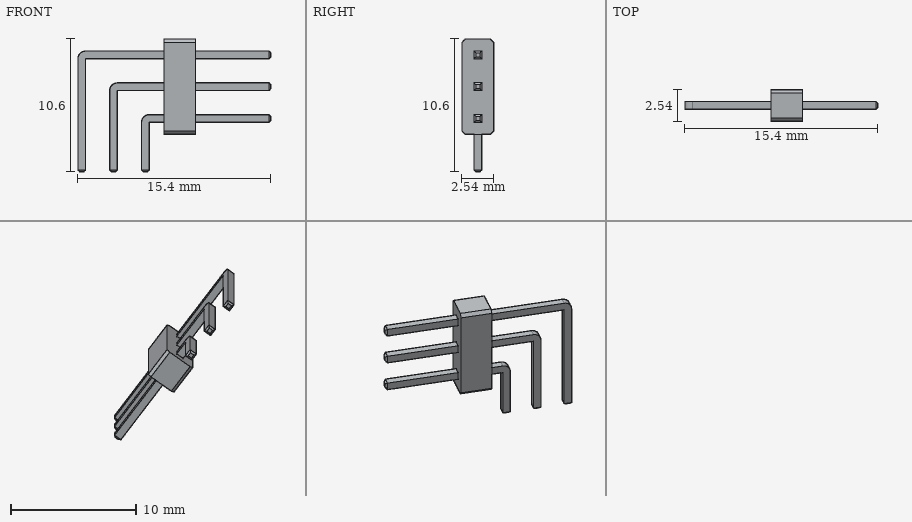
import cadquery as cq

pin_count = 3
overall_length = 15.44
overall_height = 10.62
housing_height = 7.63
housing_chamfer = 0.26
rear_reach = 6.89
pin_width = 0.63
tip_chamfer = 0.15

pitch = housing_height / pin_count
housing_width = pitch

outer_leg_x = -housing_width / 2 - rear_reach
mating_tip_x = outer_leg_x + overall_length
leg_tip_z = housing_height / 2 - overall_height
top_pin_z = (pin_count - 1) * pitch / 2


def make_pin(index):
    """Right-angle pin; index 0 is the top pin, which has the longest leg."""
    leg_x = outer_leg_x + index * pitch
    leg_inner_x = leg_x + pin_width
    bar_top = top_pin_z - index * pitch + pin_width / 2
    bar_bottom = bar_top - pin_width
    return (
        cq.Workplane("XZ")
        .moveTo(leg_x, leg_tip_z)
        .lineTo(leg_x, bar_bottom)
        .radiusArc((leg_inner_x, bar_top), pin_width)
        .lineTo(mating_tip_x, bar_top)
        .lineTo(mating_tip_x, bar_bottom)
        .lineTo(leg_inner_x, bar_bottom)
        .lineTo(leg_inner_x, leg_tip_z)
        .close()
        .extrude(pin_width / 2, both=True)
        .faces(">X or <Z")
        .chamfer(tip_chamfer)
    )


def make_housing(pins):
    """Chamfered insulator block with a matching passage for every pin."""
    block = (
        cq.Workplane("XY")
        .box(housing_width, housing_width, housing_height)
        .edges("|X")
        .chamfer(housing_chamfer)
    )
    for pin in pins:
        block = block.cut(pin)
    return block


pins = [make_pin(index) for index in range(pin_count)]
housing = make_housing(pins)

result = cq.Compound.makeCompound([housing.solids().val(), *[pin.solids().val() for pin in pins]])